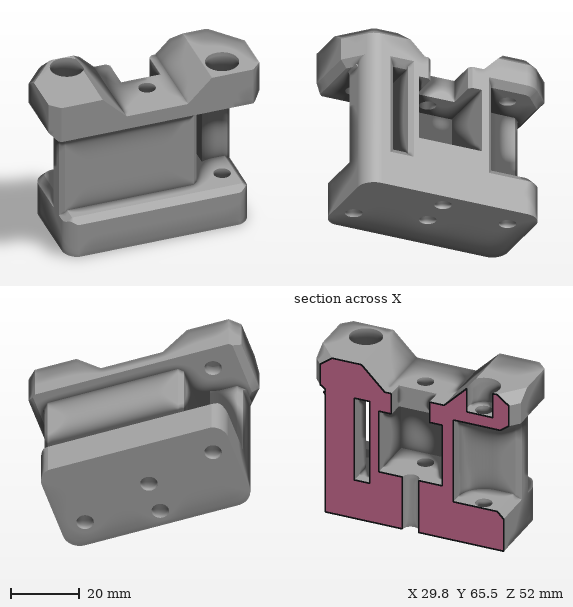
import cadquery as cq
import math

base_depth = 29.75
base_blank_depth = 30.0
base_width = 57.25
base_floor = 13.0
cap_depth = 27.9
cap_width = 65.5
cap_underside = 40.15
total_height = 52.0
core_depth = 23.8

corner_radius = 5.1
bevel_corner_radius = 2.35
ledge_bevel = 2.1
edge_bevel = 1.4
cap_top_bevel = 2.95
cap_corner_bevel = 2.95
cap_side_angle = math.radians(40.4)
gusset_size = 0.8

trough_floor = 44.55
trough_floor_half_width = 9.5

bolt_diameter = 5.1
counterbore_diameter = 10.0
counterbore_depth = 8.0
bolt_a = (8.1, -20.9)
bolt_b = (20.9, 22.65)
bolt_bay_radius = 8.45

slot_y_min = 14.35
slot_y_max = 19.2

box_center_y = 1.25
box_width = 20.25
box_depth = 20.8
box_bottom = 17.5
box_top = 37.6
notch_width = 12.2
notch_depth = box_depth / 2
notch_lead_in = 1.0
box_hole_x = (5.2, 15.7)

base_half = base_width / 2
cap_half = cap_width / 2
overrun = 6.55


def block(x_min, x_max, y_min, y_max, z_min, z_max):
    """Axis-aligned box given by its limits."""
    size = (x_max - x_min, y_max - y_min, z_max - z_min)
    return cq.Workplane("XY").box(*size, centered=False).translate((x_min, y_min, z_min))


def prism(points, z_min, z_max):
    """Upright prism on a closed plan outline."""
    return cq.Workplane("XY").workplane(offset=z_min).polyline(points).close().extrude(z_max - z_min)


def drill(center, diameter, z_min, z_max):
    """Upright cylinder used as a cutter."""
    plane = cq.Workplane("XY").workplane(offset=z_min)
    return plane.center(*center).circle(diameter / 2).extrude(z_max - z_min)


def make_base():
    """Foot plate with rounded corners and a bevel all around its upper edge.

    The front face trims a slightly deeper blank, so it meets the corner arcs at an angle.
    """
    blank = block(0, base_blank_depth, -base_half, base_half, 0, base_floor)
    beveled = blank.edges("|Z and <X").fillet(corner_radius)
    beveled = beveled.edges("|Z and >X").fillet(bevel_corner_radius)
    beveled = beveled.faces(">Z").edges().chamfer(ledge_bevel)
    rounded = blank.edges("|Z and >X").fillet(corner_radius)
    trim = block(0, base_depth, -base_half, base_half, 0, base_floor)
    return beveled.intersect(rounded).intersect(trim)


def make_cap():
    """Top plate: the slanted sides leave the rounded back corners tangentially."""
    arc_center_y = base_half - corner_radius
    tangent_x = corner_radius * (1 - math.sin(cap_side_angle))
    tangent_y = arc_center_y + corner_radius * math.cos(cap_side_angle)
    slant_end_x = tangent_x + (cap_half - tangent_y) / math.tan(cap_side_angle)
    half_turn = (math.pi / 2 - cap_side_angle) / 2
    arc_mid_x = corner_radius * (1 - math.cos(half_turn))
    arc_mid_y = arc_center_y + corner_radius * math.sin(half_turn)
    cap = (
        cq.Workplane("XY")
        .workplane(offset=cap_underside)
        .moveTo(0, -arc_center_y)
        .lineTo(0, arc_center_y)
        .threePointArc((arc_mid_x, arc_mid_y), (tangent_x, tangent_y))
        .lineTo(slant_end_x, cap_half)
        .lineTo(cap_depth, cap_half)
        .lineTo(cap_depth, -cap_half)
        .lineTo(slant_end_x, -cap_half)
        .lineTo(tangent_x, -tangent_y)
        .threePointArc((arc_mid_x, -arc_mid_y), (0, -arc_center_y))
        .close()
        .extrude(total_height - cap_underside)
    )
    cap = cap.faces("<Z").edges("not >X").chamfer(ledge_bevel)
    cap = cap.faces(">Z").edges("not (>X or >Y or <Y)").chamfer(cap_top_bevel)
    return cap.edges("|Z and >X").chamfer(cap_corner_bevel)


def make_trough():
    """Cutter for the 45 degree V trough with a flat floor, across the top."""
    top = total_height + overrun
    half_at_top = trough_floor_half_width + top - trough_floor
    profile = [
        (-trough_floor_half_width, trough_floor),
        (trough_floor_half_width, trough_floor),
        (half_at_top, top),
        (-half_at_top, top),
    ]
    return cq.Workplane("YZ").polyline(profile).close().extrude(cap_depth)


def mouth(corner, x_dir, y_dir, z_min, z_max):
    """45 degree cutter that bevels an upright outside corner of the core.

    The bevel also runs on outward from the corner, so it trims the gussets.
    x_dir and y_dir point from the corner toward the open side.
    """
    x, y = corner
    reach = edge_bevel + overrun
    points = [
        (x - x_dir * edge_bevel, y),
        (x, y - y_dir * edge_bevel),
        (x + x_dir * overrun, y - y_dir * edge_bevel),
        (x + x_dir * overrun, y + y_dir * overrun),
        (x - x_dir * reach, y + y_dir * overrun),
    ]
    return prism(points, z_min, z_max)


def gusset(x_min, x_max, side):
    """Small 45 degree wedge where an end face of the core meets the cap."""
    profile = [
        (side * base_half, cap_underside - gusset_size),
        (side * (base_half + gusset_size), cap_underside),
        (side * base_half, cap_underside),
    ]
    return cq.Workplane("YZ").polyline(profile).close().extrude(x_max - x_min).translate((x_min, 0, 0))


def bolt_bay(center, x_dir, y_dir, z_min, z_max):
    """Cutter for a bay around a bolt, open toward x_dir and y_dir."""
    x, y = center
    r = bolt_bay_radius
    far = cap_width
    bay = drill(center, 2 * r, z_min, z_max)
    for corner in [(x - x_dir * r, y), (x, y - y_dir * r)]:
        x_limits = sorted([corner[0], x_dir * far])
        y_limits = sorted([corner[1], y_dir * far])
        bay = bay.union(block(*x_limits, *y_limits, z_min, z_max))
    return bay


def make_core():
    """Walls between base and cap, with two diagonal bolt bays and a cable slot."""
    z_min = base_floor - ledge_bevel
    z_max = cap_underside + ledge_bevel
    core = block(0, core_depth, -base_half, base_half, z_min, z_max)
    core = core.edges("|Z and <X").fillet(corner_radius)

    bay_a_x = bolt_a[0] + bolt_bay_radius
    bay_a_y = bolt_a[1] + bolt_bay_radius
    bay_b_x = bolt_b[0] - bolt_bay_radius
    bay_b_y = bolt_b[1] - bolt_bay_radius
    core = core.union(gusset(bay_a_x, core_depth, -1))
    core = core.union(gusset(corner_radius, bay_b_x, 1))

    core = core.cut(bolt_bay(bolt_a, -1, -1, z_min, z_max))
    core = core.cut(bolt_bay(bolt_b, 1, 1, z_min, z_max))
    corners = [
        ((bay_a_x, -base_half), -1, -1),
        ((core_depth, -base_half), 1, -1),
        ((0, bay_a_y), -1, -1),
        ((bay_b_x, base_half), 1, 1),
        ((core_depth, bay_b_y), 1, 1),
    ]
    for corner, x_dir, y_dir in corners:
        core = core.cut(mouth(corner, x_dir, y_dir, z_min, z_max))

    slot_outline = [
        (0, slot_y_min - edge_bevel),
        (edge_bevel, slot_y_min),
        (bolt_b[0], slot_y_min),
        (bolt_b[0], slot_y_max),
        (edge_bevel, slot_y_max),
        (0, slot_y_max + edge_bevel),
    ]
    return core.cut(prism(slot_outline, z_min, z_max))


def make_box_pocket():
    """Cutter for the square pocket in the back face and the notch above it."""
    half_box = box_width / 2
    half_notch = notch_width / 2
    pocket = block(0, box_depth, -half_box, half_box, box_bottom, box_top)
    notch_outline = [
        (0, -half_notch - notch_lead_in),
        (notch_lead_in, -half_notch),
        (notch_depth, -half_notch),
        (notch_depth, half_notch),
        (notch_lead_in, half_notch),
        (0, half_notch + notch_lead_in),
    ]
    pocket = pocket.union(prism(notch_outline, box_top, total_height))
    return pocket.translate((0, box_center_y, 0))


result = make_base().union(make_core()).union(make_cap())
result = result.cut(make_trough()).cut(make_box_pocket())
for bolt in (bolt_a, bolt_b):
    result = result.cut(drill(bolt, bolt_diameter, 0, total_height))
    result = result.cut(drill(bolt, counterbore_diameter, total_height - counterbore_depth, total_height))
for hole_x in box_hole_x:
    result = result.cut(drill((hole_x, box_center_y), bolt_diameter, 0, total_height))